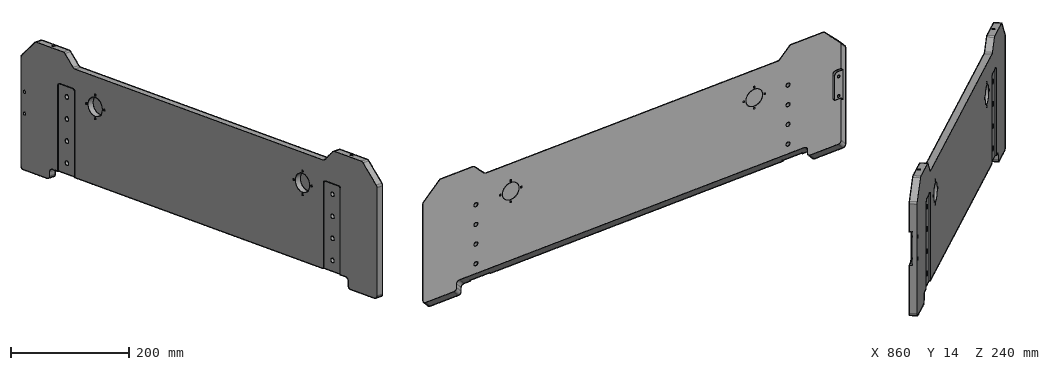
import cadquery as cq

length = 860.0
thickness = 14.0
height = 240.0
half_length = length / 2
corner_radius = 6.0

outer_chamfer = 35.0
shoulder_width = 105.0
shoulder_rise = 23.0
foot_width = 70.0
foot_height = 20.0

strip_inset = 109.0
strip_width = 40.0
strip_length = 160.0
strip_depth = 2.0
strip_corner_radius = 4.0
strip_hole_diameter = 8.0
strip_hole_count = 4
strip_hole_pitch = strip_length / strip_hole_count

socket_inset = 180.0
socket_height = 162.0
socket_diameter = 34.0
socket_depth = 12.0
ring_radius = 21.5
ring_hole_diameter = 3.35
ring_hole_count = 4

latch_height = 122.0
latch_length = 60.0
latch_hole_inset = 9.0
latch_reach = 2 * latch_hole_inset
latch_depth = 5.0
latch_corner_radius = 7.0
latch_hole_pitch = 39.5
latch_hole_diameter = 5.1

top_hole_inset = foot_width
top_hole_setback = 5.0
top_hole_diameter = 5.1
top_hole_depth = 20.0


def front_plane():
    """Plane on the front face whose normal points into the plate and local axes are (X, -Z)."""
    return cq.Workplane(cq.Plane((0, 0, 0), xDir=(1, 0, 0), normal=(0, 1, 0)))


def front_holes(centres, diameter, depth):
    """Cylinders entering the front face at the given (x, z) centres."""
    points = [(x, -z) for x, z in centres]
    return front_plane().pushPoints(points).circle(diameter / 2).extrude(depth)


def make_plate():
    shoulder_end = half_length - shoulder_width
    right_side = [
        (shoulder_end - shoulder_rise, height - shoulder_rise),
        (shoulder_end, height),
        (half_length - outer_chamfer, height),
        (half_length, height - outer_chamfer),
        (half_length, 0),
        (half_length - foot_width, 0),
        (half_length - foot_width, foot_height),
    ]
    left_side = [(-x, z) for x, z in reversed(right_side)]
    outline = [(x, -z) for x, z in right_side + left_side]
    plate = front_plane().polyline(outline).close().extrude(thickness)
    return plate.edges("|Y").fillet(corner_radius)


def strip_cut(x):
    strip = (
        cq.Workplane("XY")
        .box(strip_width, strip_depth, strip_length, centered=(True, False, False))
        .edges("|Y and >Z")
        .fillet(strip_corner_radius)
        .translate((x, 0, foot_height))
    )
    centres = [
        (x, foot_height + (row + 0.5) * strip_hole_pitch)
        for row in range(strip_hole_count)
    ]
    return strip.union(front_holes(centres, strip_hole_diameter, thickness))


def socket_cut(x):
    socket = front_holes([(x, socket_height)], socket_diameter, socket_depth)
    ring = (
        front_plane()
        .center(x, -socket_height)
        .polarArray(ring_radius, 0, 360, ring_hole_count)
        .circle(ring_hole_diameter / 2)
        .extrude(socket_depth)
    )
    return socket.union(ring)


def top_hole_cut(x):
    return (
        cq.Workplane("XY", origin=(x, thickness - top_hole_setback, height))
        .circle(top_hole_diameter / 2)
        .extrude(-top_hole_depth)
    )


def latch_cut():
    pocket = (
        cq.Workplane("XY")
        .box(latch_reach, latch_depth, latch_length, centered=(False, False, True))
        .edges("|Y and >X")
        .fillet(latch_corner_radius)
        .translate((-half_length, thickness - latch_depth, latch_height))
    )
    centres = [
        (latch_hole_inset - half_length, latch_height + side * latch_hole_pitch / 2)
        for side in (-1, 1)
    ]
    return pocket.union(front_holes(centres, latch_hole_diameter, thickness))


result = make_plate().cut(latch_cut())
for side in (-1, 1):
    result = result.cut(strip_cut(side * (half_length - strip_inset)))
    result = result.cut(socket_cut(side * (half_length - socket_inset)))
    result = result.cut(top_hole_cut(side * (half_length - top_hole_inset)))